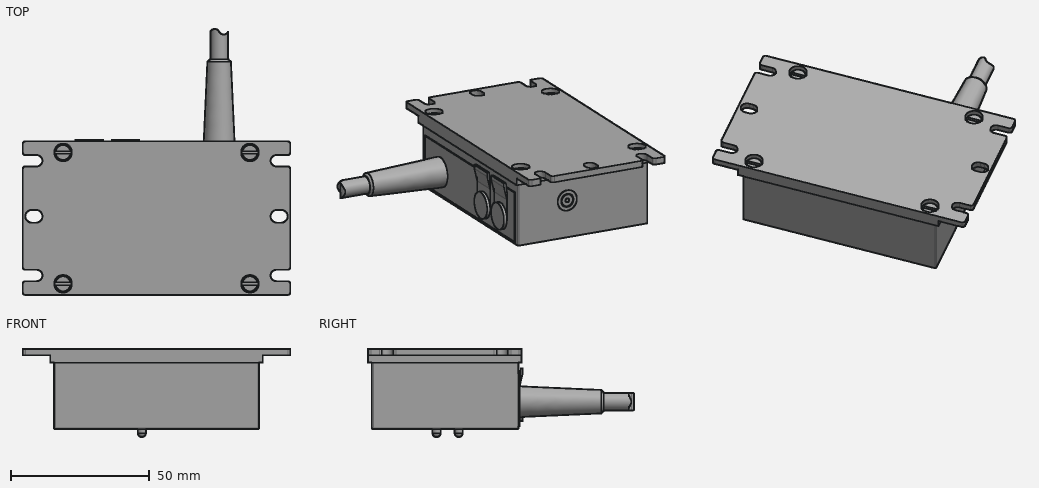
import cadquery as cq


OVERALL_WIDTH = 96.03

LID_LENGTH = 96.6
LID_WIDTH = 55.5
FLANGE_THICKNESS = 2.4
LID_THICKNESS = 5.0
LID_STEP_LENGTH = 76.8
FLANGE_CORNER_RADIUS = 1.0

SLOT_REACH = 7.1
OPEN_SLOT_WIDTH = 4.0
OPEN_SLOT_PITCH = 41.4
CLOSED_SLOT_WIDTH = 4.5
CLOSED_SLOT_LENGTH = 6.1
CLOSED_SLOT_Y = 0.65

SCREW_PITCH_X = 67.4
SCREW_PITCH_Y = 47.4
SCREW_HOLE_DIAMETER = 6.4
SCREW_HOLE_DEPTH = 3.0
SCREW_HEAD_DIAMETER = 6.0
SCREW_HEAD_RECESS = 1.4
SCREW_HEAD_CHAMFER = 0.3
SCREW_SLOT_WIDTH = 1.0
SCREW_SLOT_DEPTH = 1.0

BOX_LENGTH = 74.0
BOX_WIDTH = 53.0
BOX_CENTRE_Y = 0.1
BOX_BOTTOM_Z = -29.0
BOX_EDGE_RADIUS = 0.5
BOX_LEFT_X = -BOX_LENGTH / 2
BOX_BACK_Y = BOX_CENTRE_Y + BOX_WIDTH / 2

LAMP_X = -5.3
LAMP_YS = (-3.0, 5.0)
LAMP_COLLAR_DIAMETER = 3.1
LAMP_COLLAR_HEIGHT = 1.4
LAMP_DOME_DIAMETER = 3.0

JACK_Y = 6.4
JACK_Z = -14.7
JACK_RECESS_DIAMETER = 7.8
JACK_SLEEVE_DIAMETER = 5.0
JACK_BORE_DIAMETER = 4.5
JACK_PIN_DIAMETER = 1.5
JACK_DEPTH = 0.1

CABLE_X = 22.6
CABLE_Z = -19.1
CABLE_DIAMETER = 6.4
CABLE_TIP_Y = OVERALL_WIDTH - LID_WIDTH / 2
CABLE_WAVE_HEIGHT = 1.0
BOOT_ROOT_DIAMETER = 11.3
BOOT_TIP_DIAMETER = 8.6
BOOT_TIP_Y = 57.3
BOOT_CHAMFER = 0.9

PLATE_THICKNESS = 0.35
PLATE_TOP_Z = -9.0
PLATE_BOTTOM_Z = -28.0
PLATE_LENGTH = 70.0
CAP_XS = (-24.3, -11.2)
CAP_DIAMETER = 10.0
CAP_Z = -21.1
CAP_HEIGHT = 1.6
TAB_WIDTH = 10.0
TAB_THICKNESS = 0.4
TAB_ROOT_Z = -13.5
TAB_TIP_Z = -7.1
TAB_LIP_HEIGHT = 1.4
TAB_LIP_DEPTH = 0.8

OVERLAP = 1.0


def block(length, width, z_bottom, z_top, y=0.0):
    height = z_top - z_bottom
    return cq.Workplane("XY").box(length, width, height).translate((0, y, (z_bottom + z_top) / 2))


def back_disc(x, z, diameter, y_start, y_end):
    """Cylinder along +Y."""
    plane = cq.Plane(origin=(x, y_start, z), xDir=(1, 0, 0), normal=(0, 1, 0))
    return cq.Workplane(plane).circle(diameter / 2).extrude(y_end - y_start)


def flange():
    plate = block(LID_LENGTH, LID_WIDTH, -FLANGE_THICKNESS, 0)
    closed_centre = LID_LENGTH / 2 - SLOT_REACH + CLOSED_SLOT_LENGTH / 2
    open_length = SLOT_REACH + 2 * OPEN_SLOT_WIDTH
    open_centre = LID_LENGTH / 2 - SLOT_REACH + open_length / 2
    slots = (
        cq.Workplane("XY")
        .pushPoints([(sx * open_centre, sy * OPEN_SLOT_PITCH / 2) for sx in (-1, 1) for sy in (-1, 1)])
        .slot2D(open_length, OPEN_SLOT_WIDTH)
        .extrude(-FLANGE_THICKNESS)
    )
    plate = plate.cut(slots)
    plate = plate.edges("|Z and (<X or >X)").fillet(FLANGE_CORNER_RADIUS)
    closed_slots = (
        cq.Workplane("XY")
        .pushPoints([(-closed_centre, CLOSED_SLOT_Y), (closed_centre, CLOSED_SLOT_Y)])
        .slot2D(CLOSED_SLOT_LENGTH, CLOSED_SLOT_WIDTH)
        .extrude(-FLANGE_THICKNESS)
    )
    return plate.cut(closed_slots)


def screw_points():
    return [
        (sx * SCREW_PITCH_X / 2, sy * SCREW_PITCH_Y / 2)
        for sx in (-1, 1)
        for sy in (-1, 1)
    ]


def screw_holes():
    return (
        cq.Workplane("XY").pushPoints(screw_points())
        .circle(SCREW_HOLE_DIAMETER / 2).extrude(-SCREW_HOLE_DEPTH)
    )


def screw_heads():
    top = cq.Workplane("XY", origin=(0, 0, -SCREW_HEAD_RECESS)).pushPoints(screw_points())
    heads = top.circle(SCREW_HEAD_DIAMETER / 2).extrude(SCREW_HEAD_RECESS - SCREW_HOLE_DEPTH)
    heads = heads.edges(">Z").chamfer(SCREW_HEAD_CHAMFER)
    slots = top.rect(SCREW_HEAD_DIAMETER, SCREW_SLOT_WIDTH).extrude(-SCREW_SLOT_DEPTH)
    return heads.cut(slots)


def housing():
    box = block(BOX_LENGTH, BOX_WIDTH, BOX_BOTTOM_Z, -LID_THICKNESS, BOX_CENTRE_Y)
    return box.edges("|Z or <Z").fillet(BOX_EDGE_RADIUS)


def lamp(y):
    dome_z = BOX_BOTTOM_Z - LAMP_COLLAR_HEIGHT
    collar = (
        cq.Workplane("XY", origin=(LAMP_X, y, dome_z))
        .circle(LAMP_COLLAR_DIAMETER / 2).extrude(LAMP_COLLAR_HEIGHT + OVERLAP)
    )
    dome = cq.Workplane("XY").sphere(LAMP_DOME_DIAMETER / 2).translate((LAMP_X, y, dome_z))
    return collar.union(dome)


def jack_recess():
    """Ring-shaped recesses around the connector sleeve and its centre pin."""
    face = cq.Workplane("YZ", origin=(BOX_LEFT_X, JACK_Y, JACK_Z))
    outer = face.circle(JACK_RECESS_DIAMETER / 2).circle(JACK_SLEEVE_DIAMETER / 2).extrude(JACK_DEPTH)
    inner = face.circle(JACK_BORE_DIAMETER / 2).circle(JACK_PIN_DIAMETER / 2).extrude(JACK_DEPTH)
    return outer.union(inner)


def boot():
    root_radius = BOOT_ROOT_DIAMETER / 2
    tip_radius = BOOT_TIP_DIAMETER / 2
    return (
        cq.Workplane("XY", origin=(CABLE_X, 0, CABLE_Z))
        .moveTo(0, BOX_BACK_Y - OVERLAP)
        .lineTo(root_radius, BOX_BACK_Y - OVERLAP)
        .lineTo(root_radius, BOX_BACK_Y)
        .lineTo(tip_radius, BOOT_TIP_Y - BOOT_CHAMFER)
        .lineTo(tip_radius - BOOT_CHAMFER, BOOT_TIP_Y)
        .lineTo(0, BOOT_TIP_Y)
        .close()
        .revolve(360, (0, 0, 0), (0, 1, 0))
    )


def cable():
    """Round cable whose end is cut to an S-shaped wave."""
    radius = CABLE_DIAMETER / 2
    wave_y = CABLE_TIP_Y - CABLE_WAVE_HEIGHT
    start_y = BOOT_TIP_Y - OVERLAP
    round_cable = back_disc(CABLE_X, CABLE_Z, CABLE_DIAMETER, start_y, CABLE_TIP_Y)
    outline = (
        cq.Workplane("XY", origin=(CABLE_X, 0, CABLE_Z - radius))
        .moveTo(-radius, start_y)
        .lineTo(-radius, wave_y)
        .threePointArc((-radius / 2, CABLE_TIP_Y), (0, wave_y))
        .threePointArc((radius / 2, wave_y - CABLE_WAVE_HEIGHT), (radius, wave_y))
        .lineTo(radius, start_y)
        .close()
        .extrude(CABLE_DIAMETER)
    )
    return round_cable.intersect(outline)


def back_plate():
    plate = block(PLATE_LENGTH, PLATE_THICKNESS + OVERLAP, PLATE_BOTTOM_Z, PLATE_TOP_Z)
    return plate.translate((0, BOX_BACK_Y + (PLATE_THICKNESS - OVERLAP) / 2, 0))


def cap(x):
    """Round cap with a pull tab that leans outwards and ends in a small lip."""
    cap_y = BOX_BACK_Y + CAP_HEIGHT
    disc = back_disc(x, CAP_Z, CAP_DIAMETER, BOX_BACK_Y - OVERLAP, cap_y)
    root_y = BOX_BACK_Y
    tip_inner_y = cap_y - TAB_LIP_DEPTH
    lip_z = TAB_TIP_Z - TAB_LIP_HEIGHT
    tab = (
        cq.Workplane("YZ", origin=(x, 0, 0))
        .moveTo(root_y, CAP_Z)
        .lineTo(root_y, TAB_ROOT_Z)
        .lineTo(tip_inner_y, TAB_TIP_Z)
        .lineTo(cap_y, TAB_TIP_Z)
        .lineTo(cap_y, lip_z)
        .lineTo(root_y + TAB_THICKNESS, TAB_ROOT_Z)
        .lineTo(root_y + TAB_THICKNESS, CAP_Z)
        .close()
        .extrude(TAB_WIDTH / 2, both=True)
    )
    return disc.union(tab)


lid_step = block(LID_STEP_LENGTH, LID_WIDTH, -LID_THICKNESS, -FLANGE_THICKNESS)
result = flange().union(lid_step).union(housing())
result = result.cut(screw_holes()).union(screw_heads())
result = result.cut(jack_recess())
for lamp_y in LAMP_YS:
    result = result.union(lamp(lamp_y))
result = result.union(boot()).union(cable()).union(back_plate())
for cap_x in CAP_XS:
    result = result.union(cap(cap_x))